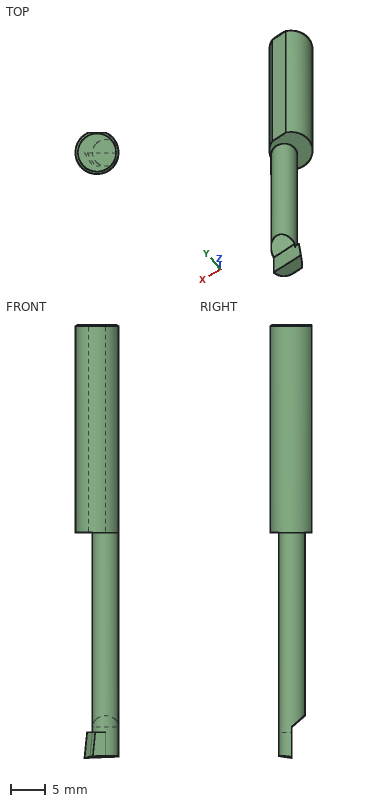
import cadquery as cq
import math

total_length = 63.5
shank_diameter = 6.35
shank_length = 30.5
flat_distance = 2.9
chamfer_width = 0.4
chamfer_height = 0.25
neck_diameter = 3.9
relief_height = 4.6
relief_angle = 41.0
head_height = 3.8
tip_reach = 1.85
flank_x = -1.1
flank_depth = 1.35
heel_x = -0.65
head_lean = 0.4
end_rise_x = 0.04
end_rise_y = 0.13

shank_radius = shank_diameter / 2
neck_radius = neck_diameter / 2
neck_x = shank_radius - neck_radius
shank_bottom = total_length - shank_length


def make_shank():
    """Round shank with a chamfered top end and a full-length flat."""
    profile = [
        (0, shank_bottom),
        (shank_radius, shank_bottom),
        (shank_radius, total_length - chamfer_height),
        (shank_radius - chamfer_width, total_length),
        (0, total_length),
    ]
    body = cq.Workplane("XZ").polyline(profile).close().revolve(360, (0, 0), (0, 1))
    flat_envelope = (
        cq.Workplane("XY")
        .workplane(offset=shank_bottom)
        .center(0, flat_distance - shank_diameter / 2)
        .rect(shank_diameter, shank_diameter)
        .extrude(shank_length)
    )
    return body.intersect(flat_envelope)


def make_neck():
    """Offset round neck, cut to a half round on the rake plane at its lower end."""
    neck = cq.Workplane("XY").center(neck_x, 0).circle(neck_radius).extrude(shank_bottom)
    cut_depth = neck_diameter
    cut_top = relief_height + cut_depth * math.tan(math.radians(relief_angle))
    relief = (
        cq.Workplane("YZ")
        .polyline([(0, 0), (0, relief_height), (cut_depth, cut_top), (cut_depth, 0)])
        .close()
        .extrude(shank_diameter, both=True)
    )
    return neck.cut(relief)


def head_outline(lean):
    """Corners of the cutting head, with the flank moved by lean along X."""
    return [
        (-tip_reach + lean, 0),
        (flank_x + lean, -flank_depth),
        (heel_x + lean, -neck_radius),
        (neck_x, -neck_radius),
        (neck_x, 0),
    ]


def make_head():
    """Cutting head with flanks that lean back above the tip."""
    return (
        cq.Workplane("XY")
        .polyline(head_outline(0))
        .close()
        .workplane(offset=head_height)
        .polyline(head_outline(head_lean))
        .close()
        .loft(ruled=True)
    )


def make_end_clearance():
    """Material below the end face, which slopes up and away from the tip."""
    plane = cq.Plane(
        origin=(-tip_reach, 0, 0),
        xDir=(1, 0, end_rise_x),
        normal=(-end_rise_x, end_rise_y, 1),
    )
    return cq.Workplane(plane).rect(4 * shank_diameter, 4 * shank_diameter).extrude(-shank_diameter)


lower_end = make_neck().union(make_head()).cut(make_end_clearance())
result = make_shank().union(lower_end)